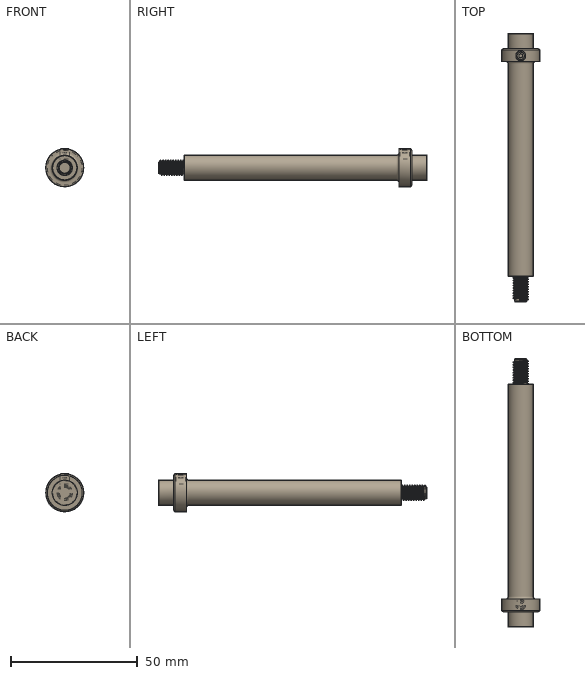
import cadquery as cq
import math

total_length = 106.0
stub_length = 5.8
collar_width = 5.2
stud_length = 10.0
shaft_diameter = 10.0
shaft_end_chamfer = 0.2
collar_diameter = 15.0
collar_chamfer = 0.6
collar_fillet = 1.0

rear_end_y = total_length / 2
collar_rear_y = rear_end_y - stub_length
collar_front_y = collar_rear_y - collar_width
front_end_y = -total_length / 2
shoulder_y = front_end_y + stud_length

stud_diameter = 6.0
thread_pitch = 1.0
thread_height = 0.5
crest_width = thread_pitch / 8
root_width = 0.8 * thread_pitch
thread_embed = 0.05
tip_chamfer = 0.3

core_radius = stud_diameter / 2 - thread_height
thread_length = stud_length - tip_chamfer - root_width / 2

screw_diameter = 3.9
screw_length = 4.0
screw_chamfer = 0.5
socket_across_flats = 1.5
socket_depth = 1.6

screw_y = (collar_rear_y - collar_chamfer + collar_front_y) / 2
screw_top_z = collar_diameter / 2
screw_bottom_z = screw_top_z - screw_length


def cylinder_along_y(diameter, rear_y, front_y):
    """Cylinder on the Y axis between two positions."""
    section = cq.Workplane("XZ", origin=(0, rear_y, 0)).circle(diameter / 2)
    return section.extrude(rear_y - front_y)


def screw_cylinder():
    """Upright cylinder shared by the set screw and its hole."""
    section = cq.Workplane("XY", origin=(0, screw_y, screw_bottom_z)).circle(screw_diameter / 2)
    return section.extrude(screw_length)


def make_shaft():
    shaft = cylinder_along_y(shaft_diameter, rear_end_y, shoulder_y)
    return shaft.faces("<Y").chamfer(shaft_end_chamfer)


def make_collar():
    collar = cylinder_along_y(collar_diameter, collar_rear_y, collar_front_y)
    return collar.faces(">Y").chamfer(collar_chamfer)


def make_collar_fillet():
    """Concave ring that blends the collar's front face into the shaft."""
    shaft_radius = shaft_diameter / 2
    fillet_front_y = collar_front_y - collar_fillet
    return (
        cq.Workplane("XY")
        .moveTo(0, collar_front_y)
        .lineTo(shaft_radius + collar_fillet, collar_front_y)
        .radiusArc((shaft_radius, fillet_front_y), -collar_fillet)
        .lineTo(0, fillet_front_y)
        .close()
        .revolve(360, (0, 0, 0), (0, 1, 0))
    )


def make_thread():
    """Helical ridge from the shoulder towards the tip, swept on Z and then laid along -Y."""
    root_radius = core_radius - thread_embed
    crest_radius = stud_diameter / 2
    helix = cq.Wire.makeHelix(thread_pitch, thread_length, root_radius)
    ridge = (
        cq.Workplane("XZ")
        .moveTo(root_radius, -root_width / 2)
        .lineTo(crest_radius, -crest_width / 2)
        .lineTo(crest_radius, crest_width / 2)
        .lineTo(root_radius, root_width / 2)
        .close()
        .sweep(cq.Workplane(helix), isFrenet=True)
    )
    return ridge.rotate((0, 0, 0), (1, 0, 0), 90).translate((0, shoulder_y, 0))


def make_stud():
    core = cylinder_along_y(2 * core_radius, shoulder_y, front_end_y)
    return core.faces("<Y").chamfer(tip_chamfer).union(make_thread())


def make_rod():
    rod = make_shaft().union(make_collar()).union(make_collar_fillet()).union(make_stud())
    return rod.cut(screw_cylinder())


def make_hex_socket():
    """Hexagonal recess with two flats parallel to Y."""
    across_corners = socket_across_flats / math.cos(math.pi / 6)
    return (
        cq.Workplane("XY", origin=(0, screw_y, screw_top_z))
        .transformed(rotate=(0, 0, 30))
        .polygon(6, across_corners)
        .extrude(-socket_depth)
    )


def make_set_screw():
    return screw_cylinder().faces(">Z").chamfer(screw_chamfer).cut(make_hex_socket())


rod = make_rod()
set_screw = make_set_screw()
result = cq.Compound.makeCompound([*rod.solids().vals(), *set_screw.solids().vals()])